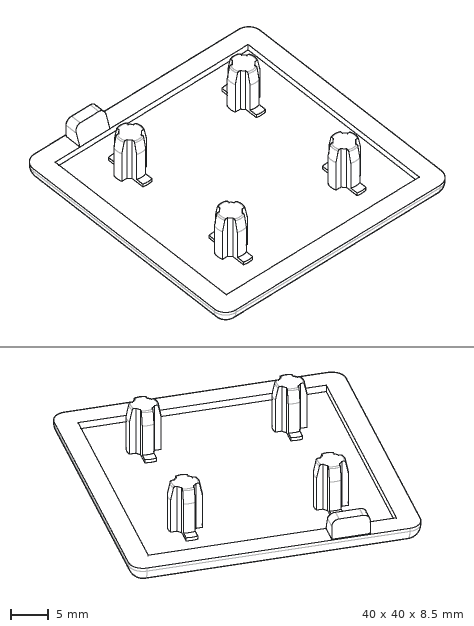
import cadquery as cq

plate_side = 40.0
edge_radius = 2.0
rim_band = 0.5
plate_height = edge_radius + rim_band
pocket_side = 34.0
pocket_depth = 1.0
floor_z = plate_height - pocket_depth
rim_width = (plate_side - pocket_side) / 2

peg_spacing = 20.0
peg_radius = 2.3
peg_tip_radius = 1.9
peg_tip_fillet = 0.2
peg_taper_height = 2.0
peg_rise = 6.0
peg_top_z = plate_height + peg_rise
arm_width = 1.6
core_radius = 1.5

foot_radius = 3.5
foot_height = 0.5

catch_width = 5.3
catch_height = 3.0
catch_inset = 0.2
catch_top_depth = 1.7
catch_corner_radius = 1.0
catch_y = -peg_spacing / 2


def make_plate():
    """Plate with ball-rounded lower corners and a square pocket in its top."""
    plate = (
        cq.Workplane("XY")
        .rect(plate_side, plate_side)
        .extrude(plate_height)
        .edges("|Z")
        .fillet(edge_radius)
        .faces("<Z")
        .edges()
        .fillet(edge_radius)
    )
    pocket = (
        cq.Workplane("XY")
        .workplane(offset=floor_z)
        .rect(pocket_side, pocket_side)
        .extrude(pocket_depth)
    )
    return plate.cut(pocket)


def make_peg():
    """Cross-section peg on the Z axis, trimmed by a cylinder with a conical tip, plus its foot."""
    height = peg_top_z - floor_z
    arm_length = 2 * peg_radius
    base = cq.Workplane("XY").workplane(offset=floor_z)
    cross = base.rect(arm_length, arm_width).extrude(height)
    cross = cross.union(base.rect(arm_width, arm_length).extrude(height))
    core = base.circle(core_radius).extrude(height)
    envelope = (
        cq.Workplane("XZ")
        .moveTo(0, floor_z)
        .lineTo(peg_radius, floor_z)
        .lineTo(peg_radius, peg_top_z - peg_taper_height)
        .lineTo(peg_tip_radius, peg_top_z)
        .lineTo(0, peg_top_z)
        .close()
        .revolve(360, (0, 0, 0), (0, 1, 0))
        .faces(">Z")
        .edges()
        .fillet(peg_tip_fillet)
    )
    foot_disc = base.circle(foot_radius).extrude(foot_height)
    foot = base.rect(2 * foot_radius, arm_width).extrude(foot_height).intersect(foot_disc)
    return cross.union(core).intersect(envelope).union(foot)


def make_catch():
    """Wedge standing on the rim, sloping down to the pocket edge."""
    outer_x = -plate_side / 2 + catch_inset
    inner_x = -plate_side / 2 + rim_width
    top_z = plate_height + catch_height
    block = (
        cq.Workplane("XY")
        .workplane(offset=plate_height)
        .center((outer_x + inner_x) / 2, catch_y)
        .rect(inner_x - outer_x, catch_width)
        .extrude(catch_height)
        .edges("|X and >Z")
        .fillet(catch_corner_radius)
    )
    wedge = (
        cq.Workplane("XZ", origin=(0, catch_y, 0))
        .moveTo(outer_x, plate_height)
        .lineTo(inner_x, plate_height)
        .lineTo(outer_x + catch_top_depth, top_z)
        .lineTo(outer_x, top_z)
        .close()
        .extrude(catch_width / 2, both=True)
    )
    return block.intersect(wedge)


result = make_plate().union(make_catch())
peg = make_peg()
for side_x in (-1, 1):
    for side_y in (-1, 1):
        offset = (side_x * peg_spacing / 2, side_y * peg_spacing / 2, 0)
        result = result.union(peg.translate(offset))